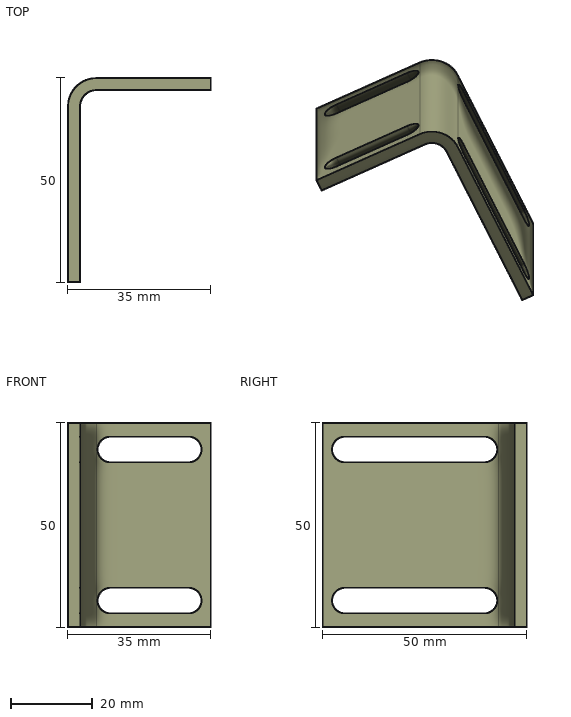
import cadquery as cq

width = 35.0
depth = 50.0
height = 50.0
thickness = 3.0

inner_radius = 4.0
outer_radius = inner_radius + thickness

slot_width = 6.2
slot_spacing = 37.0
slot_end_margin = 2.3
slot_bend_margin = 7.3
slot_heights = [
    height / 2 - slot_spacing / 2,
    height / 2 + slot_spacing / 2,
]


def bent_plate():
    """L-shaped plate with its bend at the -X, +Y corner."""
    block = cq.Workplane("XY").box(width, depth, height, centered=False)
    block = block.edges("|Z and <X and >Y").fillet(outer_radius)
    inside = (
        cq.Workplane("XY")
        .box(width - thickness, depth - thickness, height, centered=False)
        .edges("|Z and <X and >Y")
        .fillet(inner_radius)
        .translate((thickness, 0, 0))
    )
    return block.cut(inside)


def slot_pair(plane, leg_length, center, cut_depth):
    """Two round-ended cutters, centered at the given position along the leg."""
    slot_length = leg_length - slot_bend_margin - slot_end_margin
    return (
        cq.Workplane(plane)
        .pushPoints([(center, z) for z in slot_heights])
        .slot2D(slot_length, slot_width)
        .extrude(cut_depth)
    )


side_center = (depth - slot_bend_margin + slot_end_margin) / 2
back_center = (width + slot_bend_margin - slot_end_margin) / 2
side_slots = slot_pair("YZ", depth, side_center, thickness)
back_slots = slot_pair("XZ", width, back_center, thickness).translate((0, depth, 0))

result = bent_plate().cut(side_slots).cut(back_slots)